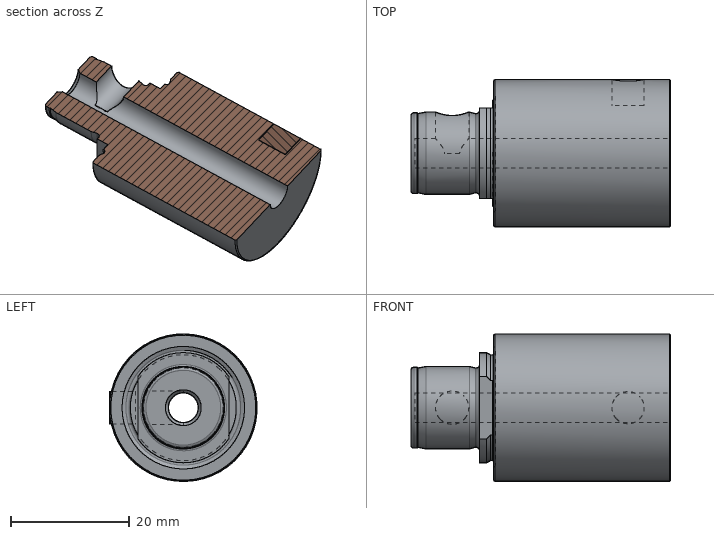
import cadquery as cq
import math

TOTAL_LENGTH = 44.0

BLOCK_RADIUS = 12.5
BLOCK_FRONT_X = 14.0
BLOCK_CHAMFER = 0.2

TIP_RADIUS = 6.85
TIP_FILLET = 0.55
TIP_END_X = 1.05
TAPER_START_X = 1.2
NECK_RADIUS = 6.75
BARREL_RADIUS = 7.0
BARREL_START_X = 2.55
BARREL_END_X = 9.9
NECK_START_X = 10.9
NECK_FILLET = 0.55

COLLAR_RADIUS = 9.35
COLLAR_FRONT_X = 11.6
COLLAR_RIM_END_X = 12.85
SHANK_RADIUS = 8.98
SHANK_START_X = 13.5
SHANK_END_X = 13.8
FLAT_HALF_WIDTH = 7.7

UNDERCUT_RADIUS = 0.55
UNDERCUT_WALL_ANGLE = math.radians(25)

BORE_RADIUS = 2.5
BORE_MOUTH_RADIUS = 3.05
BORE_MOUTH_DEPTH = 0.75

PORT_X = 7.0
PORT_RADIUS = 2.8

PLUG_X = 36.8
PLUG_RADIUS = 2.75
PLUG_LENGTH = 4.4


def y_cylinder(x, radius, start_y, end_y):
    """A round bar along +Y whose axis crosses the X axis at x."""
    return cq.Workplane("XZ", origin=(x, end_y, 0)).circle(radius).extrude(end_y - start_y)


def revolve_about_x(outline):
    return outline.close().revolve(360, (0, 0, 0), (1, 0, 0))


def turned_blank():
    """The turned outside of the body, from the tip to the back face."""
    undercut_bottom = (SHANK_END_X + UNDERCUT_RADIUS, SHANK_RADIUS + UNDERCUT_RADIUS)
    wall_foot_x = SHANK_END_X + UNDERCUT_RADIUS * math.cos(UNDERCUT_WALL_ANGLE)
    wall_foot_radius = SHANK_RADIUS + UNDERCUT_RADIUS * (1 + math.sin(UNDERCUT_WALL_ANGLE))
    mouth_radius = wall_foot_radius + (wall_foot_x - BLOCK_FRONT_X) / math.tan(UNDERCUT_WALL_ANGLE)
    outline = (
        cq.Workplane("XY")
        .lineTo(0, TIP_RADIUS - TIP_FILLET)
        .radiusArc((TIP_FILLET, TIP_RADIUS), TIP_FILLET)
        .lineTo(TIP_END_X, TIP_RADIUS)
        .lineTo(TAPER_START_X, NECK_RADIUS)
        .lineTo(BARREL_START_X, BARREL_RADIUS)
        .lineTo(BARREL_END_X, BARREL_RADIUS)
        .lineTo(NECK_START_X, NECK_RADIUS)
        .lineTo(COLLAR_FRONT_X - NECK_FILLET, NECK_RADIUS)
        .radiusArc((COLLAR_FRONT_X, NECK_RADIUS + NECK_FILLET), -NECK_FILLET)
        .lineTo(COLLAR_FRONT_X, COLLAR_RADIUS)
        .lineTo(COLLAR_RIM_END_X, COLLAR_RADIUS)
        .lineTo(SHANK_START_X, SHANK_RADIUS)
        .lineTo(SHANK_END_X, SHANK_RADIUS)
        .threePointArc(undercut_bottom, (wall_foot_x, wall_foot_radius))
        .lineTo(BLOCK_FRONT_X, mouth_radius)
        .lineTo(BLOCK_FRONT_X, BLOCK_RADIUS - BLOCK_CHAMFER)
        .lineTo(BLOCK_FRONT_X + BLOCK_CHAMFER, BLOCK_RADIUS)
        .lineTo(TOTAL_LENGTH - BLOCK_CHAMFER, BLOCK_RADIUS)
        .lineTo(TOTAL_LENGTH, BLOCK_RADIUS - BLOCK_CHAMFER)
        .lineTo(TOTAL_LENGTH, 0)
    )
    return revolve_about_x(outline)


def bore():
    """The through bore with its countersunk mouth."""
    outline = (
        cq.Workplane("XY")
        .lineTo(0, BORE_MOUTH_RADIUS)
        .lineTo(BORE_MOUTH_DEPTH, BORE_RADIUS)
        .lineTo(TOTAL_LENGTH, BORE_RADIUS)
        .lineTo(TOTAL_LENGTH, 0)
    )
    return revolve_about_x(outline)


def wrench_flat(side):
    """The material outside one flat; side is +1 for +Y and -1 for -Y."""
    length = SHANK_END_X - COLLAR_FRONT_X
    depth = COLLAR_RADIUS - FLAT_HALF_WIDTH
    center = (COLLAR_FRONT_X + length / 2, side * (FLAT_HALF_WIDTH + depth / 2), 0)
    return cq.Workplane("XY").box(length, depth, 2 * COLLAR_RADIUS).translate(center)


def make_plug():
    return y_cylinder(PLUG_X, PLUG_RADIUS, BLOCK_RADIUS - PLUG_LENGTH, BLOCK_RADIUS)


def make_body():
    body = turned_blank()
    for side in (1, -1):
        body = body.cut(wrench_flat(side))
    port = y_cylinder(PORT_X, PORT_RADIUS, 0, BARREL_RADIUS)
    plug_recess = make_plug()
    return body.cut(bore()).cut(port).cut(plug_recess)


body = make_body()
plug = make_plug()

result = cq.Compound.makeCompound([body.val(), plug.val()])